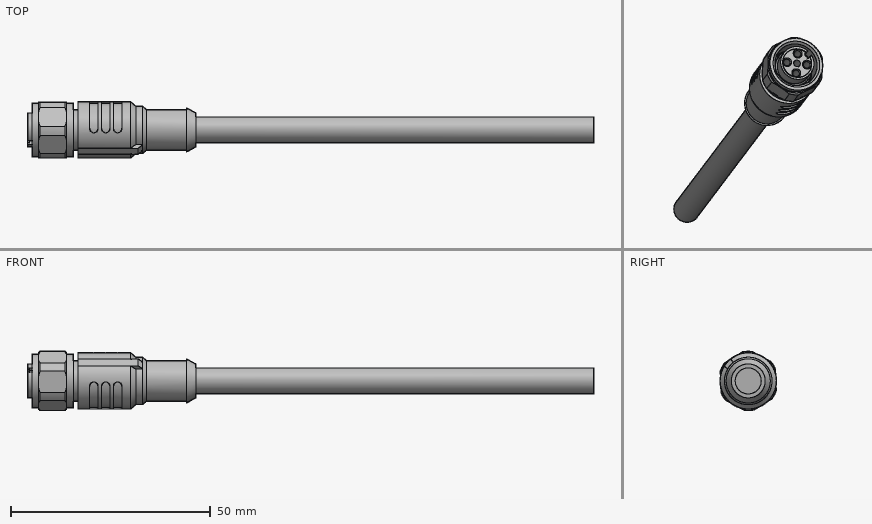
import cadquery as cq
import math

TOTAL_LENGTH = 142.1

KEY_ANGLE = 139.0

NUT_FRONT = 1.1
NUT_BACK = 11.5
HEX_FRONT = 2.7
HEX_BACK = 9.8
SHOULDER_X = 8.5
GRIP_FRONT = 12.6
GRIP_BACK = 25.9
COLLAR_FRONT = 27.1
COLLAR_BACK = 28.8
SLEEVE_FRONT = 29.8
RIM_FRONT = 40.0
GRIP_END = 42.2

NUT_DIAMETER = 13.5
HEX_ACROSS_FLATS = 13.9
HEX_CORNER_DIAMETER = 14.9
HEX_CHAMFER = 0.4
HEX_TURN = 2.0
BORE_RADIUS = 5.4
BORE_MOUTH_RADIUS = 6.0

CARRIER_RADIUS = 4.3
CARRIER_STEP_X = 4.3
CARRIER_STEP_RADIUS = 4.7
NECK_RADIUS = 5.1
CONTACT_COUNT = 4
CONTACT_CIRCLE_RADIUS = 2.5
CONTACT_RADIUS = 0.9
CONTACT_MOUTH_RADIUS = 1.1
CONTACT_DEPTH = 7.1
KEYWAY_WIDTH = 1.4
KEYWAY_DEPTH = 1.1
FACE_RECESS_RADIUS = 3.7
FACE_RECESS_DEPTH = 0.4

GRIP_RADIUS = 7.1
COLLAR_RADIUS = 6.0
SLEEVE_RADIUS = 5.1
RIM_RADIUS = 5.5
RIM_END_RADIUS = 4.3
KEY_RIB_WIDTH = 2.3
KEY_RIB_BACK = 27.7
FINGER_SLOT_COUNT = 3
FINGER_SLOT_PITCH = 3.0
FINGER_SLOT_WIDTH = 2.1
FINGER_SLOT_DEPTH = 0.4
FINGER_SLOT_HALF_ANGLE = 47.0
FIRST_SLOT_X = 16.6

CABLE_RADIUS = 3.3


def turned(profile):
    """Solid of revolution about the X axis from (x, radius) points of a closed outline."""
    return cq.Workplane("XY").polyline(profile).close().revolve(360, (0, 0, 0), (1, 0, 0))


def rod(start, end, radius):
    """Round bar along X."""
    return cq.Workplane("YZ", origin=(start, 0, 0)).circle(radius).extrude(end - start)


def about_x(shape, angle):
    """Turn a shape about the X axis; angles run from +Y towards +Z."""
    return shape.rotate((0, 0, 0), (1, 0, 0), angle)


def make_nut():
    """Round nut with a chamfered hexagon band and a stepped bore."""
    hexagon = (
        cq.Workplane("YZ", origin=(HEX_FRONT, 0, 0))
        .polygon(6, HEX_ACROSS_FLATS, circumscribed=True)
        .extrude(HEX_BACK - HEX_FRONT)
    )
    hexagon = about_x(hexagon, HEX_TURN)
    envelope = rod(HEX_FRONT, HEX_BACK, HEX_CORNER_DIAMETER / 2).edges().chamfer(HEX_CHAMFER)
    blank = rod(NUT_FRONT, NUT_BACK, NUT_DIAMETER / 2).union(hexagon.intersect(envelope))
    mouth_depth = BORE_MOUTH_RADIUS - BORE_RADIUS
    bore = turned([
        (NUT_FRONT, 0),
        (NUT_FRONT, BORE_MOUTH_RADIUS),
        (NUT_FRONT + mouth_depth, BORE_RADIUS),
        (SHOULDER_X, BORE_RADIUS),
        (SHOULDER_X, NECK_RADIUS),
        (NUT_BACK, NECK_RADIUS),
        (NUT_BACK, 0),
    ])
    return blank.cut(bore)


def make_contact_hole():
    """Contact hole on the X axis with a chamfered mouth at the recessed face."""
    mouth_depth = CONTACT_MOUTH_RADIUS - CONTACT_RADIUS
    return turned([
        (FACE_RECESS_DEPTH, 0),
        (FACE_RECESS_DEPTH, CONTACT_MOUTH_RADIUS),
        (FACE_RECESS_DEPTH + mouth_depth, CONTACT_RADIUS),
        (CONTACT_DEPTH, CONTACT_RADIUS),
        (CONTACT_DEPTH, 0),
    ])


def make_carrier():
    """Contact carrier: keyed nose with a recessed contact face, and a neck that meets the grip."""
    step_rise = CARRIER_STEP_RADIUS - CARRIER_RADIUS
    carrier = turned([
        (0, 0),
        (0, CARRIER_RADIUS),
        (CARRIER_STEP_X, CARRIER_RADIUS),
        (CARRIER_STEP_X + step_rise, CARRIER_STEP_RADIUS),
        (SHOULDER_X, CARRIER_STEP_RADIUS),
        (SHOULDER_X, NECK_RADIUS),
        (GRIP_FRONT, NECK_RADIUS),
        (GRIP_FRONT, 0),
    ])
    carrier = carrier.cut(rod(0, FACE_RECESS_DEPTH, FACE_RECESS_RADIUS))
    carrier = carrier.cut(rod(0, CONTACT_DEPTH, CONTACT_RADIUS))
    contact_hole = make_contact_hole().translate((0, CONTACT_CIRCLE_RADIUS, 0))
    first_contact_angle = KEY_ANGLE + 180 / CONTACT_COUNT
    for i in range(CONTACT_COUNT):
        angle = first_contact_angle + i * 360 / CONTACT_COUNT
        carrier = carrier.cut(about_x(contact_hole, angle))
    keyway = (
        cq.Workplane("XY", origin=(0, CARRIER_RADIUS, 0))
        .box(CARRIER_STEP_X, 2 * KEYWAY_DEPTH, KEYWAY_WIDTH, centered=(False, True, True))
    )
    return carrier.cut(about_x(keyway, KEY_ANGLE))


def make_key_rib():
    """Flat-topped rib along the grip, ending in a slope down to the collar."""
    rib = (
        cq.Workplane("XY", origin=(0, 0, -KEY_RIB_WIDTH / 2))
        .polyline([
            (GRIP_FRONT, SLEEVE_RADIUS),
            (GRIP_FRONT, GRIP_RADIUS),
            (KEY_RIB_BACK, GRIP_RADIUS),
            (COLLAR_BACK, COLLAR_RADIUS),
            (COLLAR_BACK, SLEEVE_RADIUS),
        ])
        .close()
        .extrude(KEY_RIB_WIDTH)
    )
    return about_x(rib, KEY_ANGLE)


def make_finger_slots():
    """One row of round-ended shallow slots, centred on the +Y side."""
    slot_length = 2 * GRIP_RADIUS * math.sin(math.radians(FINGER_SLOT_HALF_ANGLE))
    floor_radius = GRIP_RADIUS - FINGER_SLOT_DEPTH
    centres = [(FIRST_SLOT_X + i * FINGER_SLOT_PITCH, 0) for i in range(FINGER_SLOT_COUNT)]
    row = (
        cq.Workplane("XZ")
        .pushPoints(centres)
        .slot2D(slot_length, FINGER_SLOT_WIDTH, 90)
        .extrude(-2 * GRIP_RADIUS)
    )
    return row.cut(rod(GRIP_FRONT, GRIP_BACK, floor_radius))


def make_grip():
    """Moulded grip with its sleeve, end rim, key rib and two rows of finger slots."""
    grip = turned([
        (GRIP_FRONT, 0),
        (GRIP_FRONT, GRIP_RADIUS),
        (GRIP_BACK, GRIP_RADIUS),
        (COLLAR_FRONT, COLLAR_RADIUS),
        (COLLAR_BACK, COLLAR_RADIUS),
        (SLEEVE_FRONT, SLEEVE_RADIUS),
        (RIM_FRONT, SLEEVE_RADIUS),
        (RIM_FRONT, RIM_RADIUS),
        (GRIP_END, RIM_END_RADIUS),
        (GRIP_END, 0),
    ])
    grip = grip.union(make_key_rib())
    for side in (-90, 90):
        grip = grip.cut(about_x(make_finger_slots(), KEY_ANGLE + side))
    return grip


def make_cable():
    """Round cable from the end of the grip."""
    return rod(GRIP_END, TOTAL_LENGTH, CABLE_RADIUS)


nut = make_nut()
carrier = make_carrier()
grip = make_grip()
cable = make_cable()

result = cq.Compound.makeCompound([nut.val(), carrier.val(), grip.val(), cable.val()])